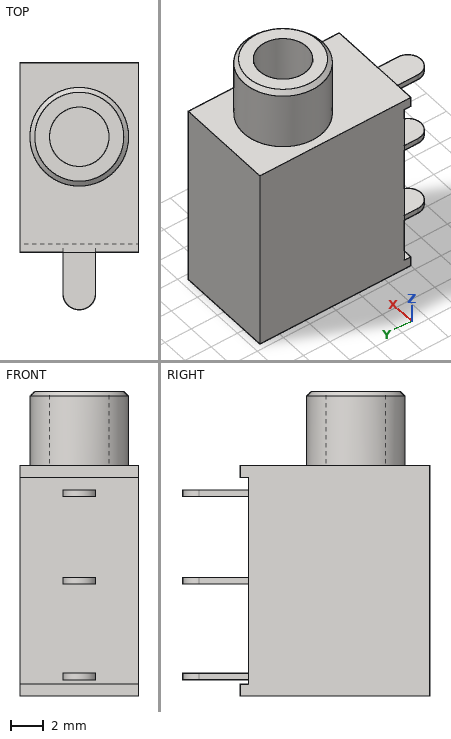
import cadquery as cq

total_height = 18.5
total_depth = 15.0
barrel_height = 4.5
housing_height = total_height - barrel_height
housing_width = 7.2
back_y = 4.5
front_y = -7.01
housing_depth = back_y - front_y

recess_depth = 0.5
lip_height = 0.74
recess_y = front_y + recess_depth

barrel_diameter = 6.0
barrel_chamfer = 0.3
bore_diameter = 3.6
bore_depth = barrel_height

pin_width = 2.0
pin_thickness = 0.4
pin_tip_y = back_y - total_depth
pin_heights = (1.2, 7.01, 12.32)


def make_housing():
    body = cq.Workplane("XY").box(
        housing_width, housing_depth, housing_height, centered=(True, False, False)
    ).translate((0, front_y, 0))
    recess = cq.Workplane("XY").box(
        housing_width, recess_depth, housing_height - 2 * lip_height, centered=(True, False, False)
    ).translate((0, front_y, lip_height))
    return body.cut(recess)


def make_barrel():
    return (
        cq.Workplane("XY", origin=(0, 0, housing_height))
        .circle(barrel_diameter / 2)
        .extrude(barrel_height)
        .faces(">Z")
        .chamfer(barrel_chamfer)
    )


def make_bore():
    return (
        cq.Workplane("XY", origin=(0, 0, total_height))
        .circle(bore_diameter / 2)
        .extrude(-bore_depth)
    )


def make_pin(center_z):
    half_width = pin_width / 2
    shoulder_y = pin_tip_y + half_width
    return (
        cq.Workplane("XY", origin=(0, 0, center_z - pin_thickness / 2))
        .moveTo(-half_width, recess_y)
        .lineTo(-half_width, shoulder_y)
        .threePointArc((0, pin_tip_y), (half_width, shoulder_y))
        .lineTo(half_width, recess_y)
        .close()
        .extrude(pin_thickness)
    )


result = make_housing().union(make_barrel()).cut(make_bore())
for pin_height in pin_heights:
    result = result.union(make_pin(pin_height))